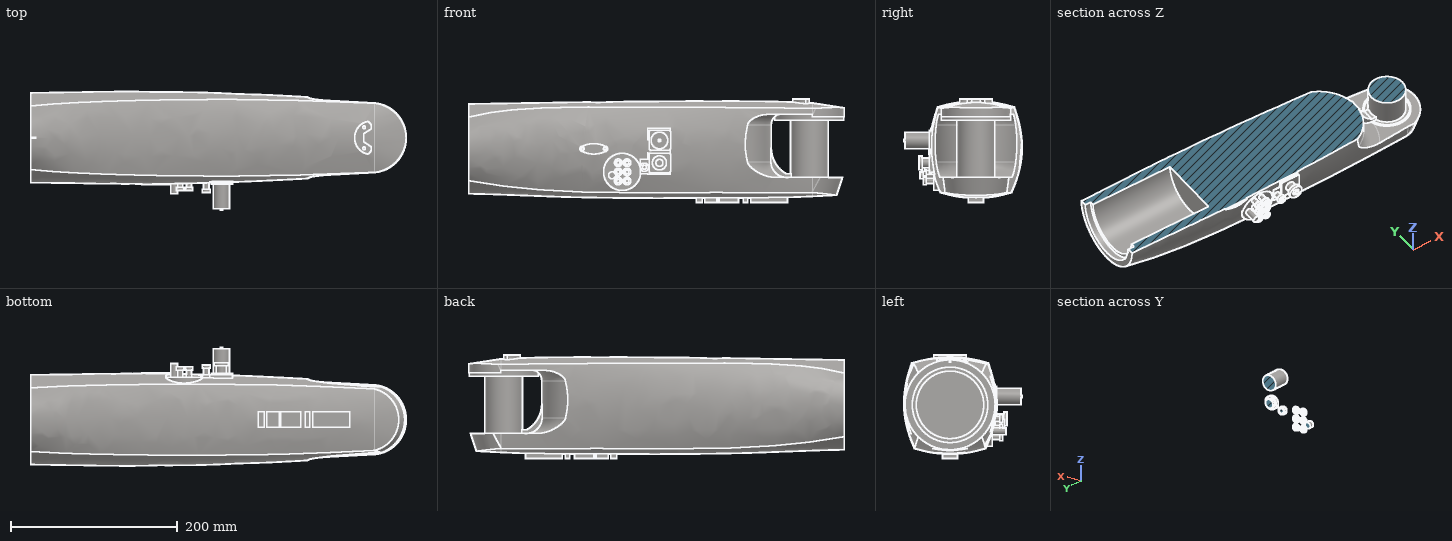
import cadquery as cq
import math

LENGTH = 450.42
TOP_Z = 60.0
BOTTOM_Z = TOP_Z - 124.5
OUTER_SIDE_Y = 55.6
TIP_Y = OUTER_SIDE_Y - 142.24
EMBED = 3.0

END_RADIUS = 54.0
SEAT_RADIUS = 45.3
SEAT_DEPTH = 8.0
BORE_RADIUS = 40.5
BORE_DEPTH = 120.0
NOTCH_LENGTH = 6.0
NOTCH_WIDTH = 1.5
NOTCH_FLOOR_Z = 51.0

NOSE_RADIUS = 42.0
PIN_X = LENGTH - NOSE_RADIUS
NOSE_START_X = PIN_X + 3.5
PIN_RADIUS = 22.8
FORK_FLOOR_Z = -34.3
FORK_CEILING_Z = 41.2
PAD_FACE_Z = 34.2
PAD_RADIUS = 41.5
NOSE_CEILING_Z = 38.8
WALL_RADIUS = 54.0
WALL_AXIS_X = 309.0
WALL_FLOOR_FILLET = 19.0
WALL_CEILING_FILLET = 12.0
LOWER_NOSE_SETBACK = 2.0
LOWER_NOSE_LEAN = 2.5
LOWER_NOSE_BOTTOM_RADIUS = 34.5

PLATE_FACE_Y = -54.0
BLOCK_FACE_Y = -55.8
COVER_FACE_Y = -50.9
ROOT_Y = -46.0


def body_section(x, top_y, side_y, bottom_y, top_z, crown_top, bottom_z, crown_bottom):
    """Closed four-arc cross-section at station x."""
    return (
        cq.Workplane("YZ", origin=(x, 0, 0))
        .moveTo(-top_y, top_z)
        .threePointArc((0, crown_top), (top_y, top_z))
        .threePointArc((side_y, 0), (bottom_y, bottom_z))
        .threePointArc((0, crown_bottom), (-bottom_y, bottom_z))
        .threePointArc((-side_y, 0), (-top_y, top_z))
        .close()
        .wires()
        .val()
    )


def body():
    """Arm lofted from the round end to the fork, then to the sloping nose."""
    end_corner = END_RADIUS * math.sin(math.radians(45))
    sections = [
        (0, end_corner, END_RADIUS, end_corner, end_corner, END_RADIUS, -end_corner, -END_RADIUS),
        (63, 42.6, 55.0, 41.0, 47.7, 55.0, -47.1, -56.0),
        (145, 45.2, 55.5, 42.4, 50.2, 56.3, -52.0, -58.6),
        (257, 46.0, 52.7, 42.4, 50.0, 57.4, -52.4, -59.2),
        (331, 44.4, 49.0, 40.5, 49.4, 57.4, -52.4, -59.0),
        (NOSE_START_X, 41.4, NOSE_RADIUS, 37.0, 48.7, 55.3, -52.4, -57.2),
    ]
    tip_section = (LENGTH + EMBED, 41.4, NOSE_RADIUS, 37.0, 48.0, 48.8, -52.4, -55.0)
    arm_wires = [body_section(*values) for values in sections]
    arm = cq.Solid.makeLoft(arm_wires)
    nose = cq.Solid.makeLoft([arm_wires[-1], body_section(*tip_section)], True)
    return cq.Workplane(arm).union(cq.Workplane(nose)).intersect(nose_envelope())


def nose_outline(center_x, radius, z):
    """Plan outline with a half-round nose, on a plane at height z."""
    return (
        cq.Workplane("XY", origin=(0, 0, z))
        .moveTo(PIN_X / 2, -radius)
        .lineTo(center_x, -radius)
        .threePointArc((center_x + radius, 0), (center_x, radius))
        .lineTo(PIN_X / 2, radius)
        .close()
    )


def nose_envelope():
    """Volume that rounds the upper nose and leans the lower nose back."""
    lower_x = PIN_X - LOWER_NOSE_SETBACK
    bottom_x = lower_x - LOWER_NOSE_LEAN
    upper = nose_outline(PIN_X, NOSE_RADIUS, FORK_FLOOR_Z).extrude(TOP_Z - FORK_FLOOR_Z)
    lower_top = nose_outline(lower_x, NOSE_RADIUS, FORK_FLOOR_Z).val()
    lower_bottom = nose_outline(bottom_x, LOWER_NOSE_BOTTOM_RADIUS, BOTTOM_Z).val()
    lower = cq.Workplane(cq.Solid.makeLoft([lower_top, lower_bottom], True))
    upper_rear = rear_block(PIN_X, FORK_FLOOR_Z, TOP_Z)
    lower_rear = rear_block(bottom_x, BOTTOM_Z, FORK_FLOOR_Z)
    return upper.union(lower).union(upper_rear).union(lower_rear)


def rear_block(end_x, low_z, high_z):
    """Block wider than the arm, from the open end to end_x."""
    block = cq.Workplane("XY").box(
        end_x, 3 * END_RADIUS, high_z - low_z, centered=(False, True, False)
    )
    return block.translate((0, 0, low_z))


def fork_opening():
    """Gap of the fork, with a convex inner wall and a round pad under the upper cheek."""
    floor_start = WALL_RADIUS + WALL_FLOOR_FILLET
    ceiling_start = WALL_RADIUS + WALL_CEILING_FILLET
    reach = LENGTH - WALL_AXIS_X + NOSE_RADIUS
    diagonal = 1 - math.sqrt(0.5)
    gap = (
        cq.Workplane("XZ", origin=(WALL_AXIS_X, 0, 0))
        .moveTo(reach, FORK_FLOOR_Z)
        .lineTo(floor_start, FORK_FLOOR_Z)
        .threePointArc(
            (
                WALL_RADIUS + diagonal * WALL_FLOOR_FILLET,
                FORK_FLOOR_Z + diagonal * WALL_FLOOR_FILLET,
            ),
            (WALL_RADIUS, FORK_FLOOR_Z + WALL_FLOOR_FILLET),
        )
        .lineTo(WALL_RADIUS, FORK_CEILING_Z - WALL_CEILING_FILLET)
        .threePointArc(
            (
                WALL_RADIUS + diagonal * WALL_CEILING_FILLET,
                FORK_CEILING_Z - diagonal * WALL_CEILING_FILLET,
            ),
            (ceiling_start, FORK_CEILING_Z),
        )
        .lineTo(reach, FORK_CEILING_Z)
        .close()
        .revolve(360, (0, 0, 0), (0, 1, 0))
        .intersect(
            cq.Workplane("YZ", origin=(WALL_AXIS_X, 0, 0)).rect(LENGTH, LENGTH).extrude(LENGTH)
        )
    )
    pad = (
        cq.Workplane("XY", origin=(PIN_X, 0, PAD_FACE_Z))
        .circle(PAD_RADIUS)
        .extrude(TOP_Z - PAD_FACE_Z)
    )
    full_nose = (
        cq.Workplane("XY", origin=(NOSE_START_X + NOSE_RADIUS, 0, NOSE_CEILING_Z))
        .rect(2 * NOSE_RADIUS, 3 * NOSE_RADIUS)
        .extrude(TOP_Z - NOSE_CEILING_Z)
    )
    return gap.cut(pad).cut(full_nose)


def hinge_pin():
    """Pin joining the two cheeks of the fork."""
    return (
        cq.Workplane("XY", origin=(PIN_X, 0, FORK_FLOOR_Z - EMBED))
        .circle(PIN_RADIUS)
        .extrude(PAD_FACE_Z - FORK_FLOOR_Z + 2 * EMBED)
    )


def wall_gusset():
    """Gusset with a concave edge between the fork wall and floor, running on as a low lug."""
    width = 16.0
    lug_top_z = FORK_FLOOR_Z + 4.5
    arc_radius = 35.0
    face_x = WALL_AXIS_X + WALL_RADIUS
    root_x = face_x - EMBED
    arc_center_z = FORK_FLOOR_Z + arc_radius
    lug_angle = math.asin((arc_center_z - lug_top_z) / arc_radius)

    def edge_point(angle):
        return (
            face_x + arc_radius * (1 - math.cos(angle)),
            arc_center_z - arc_radius * math.sin(angle),
        )

    return (
        cq.Workplane("XZ")
        .moveTo(root_x, FORK_FLOOR_Z - EMBED)
        .lineTo(root_x, arc_center_z)
        .lineTo(face_x, arc_center_z)
        .threePointArc(edge_point(lug_angle / 2), edge_point(lug_angle))
        .lineTo(PIN_X, lug_top_z)
        .lineTo(PIN_X, FORK_FLOOR_Z - EMBED)
        .close()
        .extrude(width / 2, both=True)
    )


def pin_groove():
    """Shallow ring groove in the lower cheek around the pin."""
    depth = 1.0
    inner_radius = 27.3
    width = 1.5
    return (
        cq.Workplane("XY", origin=(PIN_X, 0, FORK_FLOOR_Z - depth))
        .circle(inner_radius + width)
        .circle(inner_radius)
        .extrude(depth)
    )


def end_bore():
    """Stepped blind bore of the open end, and the notch in its rim."""
    bore = cq.Workplane("YZ").circle(BORE_RADIUS).extrude(BORE_DEPTH)
    seat = cq.Workplane("YZ").circle(SEAT_RADIUS).extrude(SEAT_DEPTH)
    notch = cq.Workplane("XY").box(
        NOTCH_LENGTH, NOTCH_WIDTH, TOP_Z - NOTCH_FLOOR_Z, centered=(False, True, False)
    )
    return bore.union(seat).union(notch.translate((0, 0, NOTCH_FLOOR_Z)))


def side_plane(y):
    """Sketch plane facing -Y, with local axes X and Z."""
    return cq.Workplane("XZ", origin=(0, y, 0))


def side_cylinder(x, z, radius, root_y, face_y):
    """Cylinder along Y from root_y out to face_y."""
    return side_plane(root_y).center(x, z).circle(radius).extrude(root_y - face_y)


def side_block(x_range, z_range, root_y, face_y):
    """Rectangular block along Y from root_y out to face_y."""
    return (
        side_plane(root_y)
        .moveTo(x_range[0], z_range[0])
        .lineTo(x_range[1], z_range[0])
        .lineTo(x_range[1], z_range[1])
        .lineTo(x_range[0], z_range[1])
        .close()
        .extrude(root_y - face_y)
    )


def socket(x, z, radius, root_y, face_y):
    """Connector with a slimmer neck, a round head and a blind socket."""
    head_length = 4.0
    socket_depth = 3.0
    neck_radius = 0.7 * radius
    hole_radius = 0.5 * radius
    neck = side_cylinder(x, z, neck_radius, root_y, face_y)
    head = side_cylinder(x, z, radius, face_y + head_length, face_y)
    hole = side_cylinder(x, z, hole_radius, face_y + socket_depth, face_y)
    return neck.union(head).cut(hole)


def name_plate():
    """Lens-shaped plate with a screw hole in each rounded end."""
    center_x = 150.0
    screw_offset = 13.3
    end_radius = 3.3
    half_height = 6.3
    hole_radius = 1.7
    hole_depth = 1.0
    face_y = -56.4
    lens = (
        side_plane(ROOT_Y)
        .moveTo(center_x - screw_offset, end_radius)
        .threePointArc((center_x, half_height), (center_x + screw_offset, end_radius))
        .threePointArc(
            (center_x + screw_offset + end_radius, 0), (center_x + screw_offset, -end_radius)
        )
        .threePointArc((center_x, -half_height), (center_x - screw_offset, -end_radius))
        .threePointArc(
            (center_x - screw_offset - end_radius, 0), (center_x - screw_offset, end_radius)
        )
        .close()
        .extrude(ROOT_Y - face_y)
    )
    for side in (-1, 1):
        screw_x = center_x + side * screw_offset
        lens = lens.cut(side_cylinder(screw_x, 0, hole_radius, face_y + hole_depth, face_y))
    return lens


def add_connector_cover(part):
    """Flat round cover let into the side, with six sockets and a guide peg."""
    cover_x = 184.0
    cover_z = -27.6
    cover_radius = 22.3
    socket_center_x = 184.6
    socket_pitch_x = 10.6
    socket_pitch_z = 11.0
    socket_radius = 4.5
    socket_face_y = -63.5
    peg_x = 172.0
    peg_z = -31.7
    peg_radius = 4.2
    peg_face_y = -67.4
    recess = side_cylinder(cover_x, cover_z, cover_radius, COVER_FACE_Y, TIP_Y)
    cover = side_cylinder(cover_x, cover_z, cover_radius, ROOT_Y + EMBED, COVER_FACE_Y)
    part = part.cut(recess).union(cover)
    part = part.union(side_cylinder(peg_x, peg_z, peg_radius, ROOT_Y, peg_face_y))
    for column in (-0.5, 0.5):
        for row in (-1, 0, 1):
            x = socket_center_x + column * socket_pitch_x
            z = cover_z + row * socket_pitch_z
            part = part.union(socket(x, z, socket_radius, ROOT_Y, socket_face_y))
    return part


def side_unit():
    """Base plate carrying the long shaft, the large connector and a small connector."""
    shaft_x = 228.7
    shaft_z = 10.1
    shaft_radius = 10.0
    tip_length = 1.4
    shaft_face_y = TIP_Y + tip_length
    tip_radius = 1.5
    block_corner_radius = 1.5
    connector_z = -16.8
    connector_radius = 8.5
    connector_face_y = -68.5
    small_x = 210.6
    small_z = -22.0
    small_radius = 5.0
    small_face_y = -65.7
    block_x = (216.5, 242.0)
    unit = side_block((215.0, 241.5), (-30.6, 25.0), ROOT_Y, PLATE_FACE_Y)
    unit = unit.union(side_block((206.0, 215.0), (-30.0, -12.7), ROOT_Y, PLATE_FACE_Y))
    for z_range in ((-1.4, 22.2), (-28.6, -5.0)):
        block = side_block(block_x, z_range, ROOT_Y, BLOCK_FACE_Y).edges("|Y").fillet(block_corner_radius)
        unit = unit.union(block)
    unit = unit.union(side_cylinder(shaft_x, shaft_z, shaft_radius, ROOT_Y, shaft_face_y))
    unit = unit.union(side_cylinder(shaft_x, shaft_z, tip_radius, ROOT_Y, TIP_Y))
    unit = unit.union(socket(shaft_x, connector_z, connector_radius, ROOT_Y, connector_face_y))
    return unit.union(socket(small_x, small_z, small_radius, ROOT_Y, small_face_y))


def lock_plate():
    """Crescent plate with two screw holes on top of the upper cheek."""
    root_z = 50.0
    hole_x = 399.8
    hole_y = 12.6
    hole_radius = 1.6
    hole_depth = 2.0
    back_x = 388.4
    inner_x = 399.4
    end_x = 408.0
    end_radius = 4.0
    half_width = 19.6
    waist_half_width = 5.0
    corner_y = 10.5
    plate = (
        cq.Workplane("XY", origin=(0, 0, root_z))
        .moveTo(end_x - end_radius, half_width)
        .threePointArc((back_x, 0), (end_x - end_radius, -half_width))
        .threePointArc((end_x, -half_width + end_radius), (end_x, -corner_y))
        .lineTo(inner_x, -waist_half_width)
        .lineTo(inner_x, waist_half_width)
        .lineTo(end_x, corner_y)
        .threePointArc((end_x, half_width - end_radius), (end_x - end_radius, half_width))
        .close()
        .extrude(TOP_Z - root_z)
    )
    holes = (
        cq.Workplane("XY", origin=(hole_x, 0, TOP_Z - hole_depth))
        .pushPoints([(0, -hole_y), (0, hole_y)])
        .circle(hole_radius)
        .extrude(hole_depth)
    )
    return plate.cut(holes)


def bottom_pads():
    """Row of raised pads along the underside."""
    width = 18.5
    root_z = -50.0
    spans = [(272.8, 280.3), (282.8, 297.9), (300.0, 323.6), (329.0, 334.7), (338.0, 382.4)]
    pads = cq.Workplane("XY")
    for start_x, end_x in spans:
        pad = cq.Workplane("XY").box(
            end_x - start_x, width, root_z - BOTTOM_Z, centered=(False, True, False)
        )
        pads = pads.union(pad.translate((start_x, 0, BOTTOM_Z)))
    return pads


part = body().cut(fork_opening()).cut(pin_groove())
part = part.union(wall_gusset()).union(hinge_pin())
part = part.union(name_plate())
part = add_connector_cover(part)
part = part.union(side_unit())
part = part.union(lock_plate()).union(bottom_pads())
result = part.cut(end_bore())